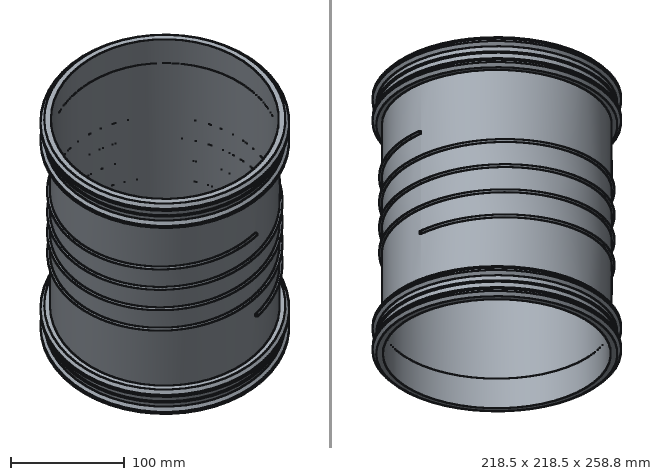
import cadquery as cq
import math

length = 258.8
bore_radius = 200.0 / 2
pipe_radius = 201.9 / 2

collar_height = 30.0
lip_radius = 218.5 / 2
channel_radius = 211.7 / 2
lip_height = 9.0
bevel = lip_radius - channel_radius

ridge_height = 0.5
ridge_width = 1.0

wire_radius = 1.3
wire_sink = 0.13
coil_radius = pipe_radius + wire_radius - wire_sink
pitch = 25.0
turns = 4
coil_height = pitch * turns
coil_start = (length - coil_height) / 2


def make_disc(radius, bottom, height):
    return cq.Workplane("XY").workplane(offset=bottom).circle(radius).extrude(height)


def make_lip(bottom):
    return make_disc(lip_radius, bottom, lip_height).edges().chamfer(bevel)


def make_collar(bottom):
    ridge_bottom = bottom + (collar_height - ridge_width) / 2
    collar = make_disc(channel_radius, bottom, collar_height)
    collar = collar.union(make_disc(channel_radius + ridge_height, ridge_bottom, ridge_width))
    for lip_bottom in (bottom, bottom + collar_height - lip_height):
        collar = collar.union(make_lip(lip_bottom))
    return collar


def make_wire():
    path = cq.Wire.makeHelix(pitch, coil_height, coil_radius)
    path = path.translate(cq.Vector(0, 0, coil_start))
    start_plane = cq.Plane(
        origin=(coil_radius, 0, coil_start),
        xDir=(1, 0, 0),
        normal=(0, 2 * math.pi * coil_radius, pitch),
    )
    section = cq.Workplane(start_plane).circle(wire_radius)
    return section.sweep(cq.Workplane(obj=path), isFrenet=True)


def make_pipe(wire):
    pipe = make_disc(pipe_radius, 0, length)
    for collar_bottom in (0, length - collar_height):
        pipe = pipe.union(make_collar(collar_bottom))
    pipe = pipe.cut(make_disc(bore_radius, 0, length))
    return pipe.cut(wire)


wire = make_wire()
pipe = make_pipe(wire)

result = cq.Compound.makeCompound([pipe.solids().val(), wire.val()])